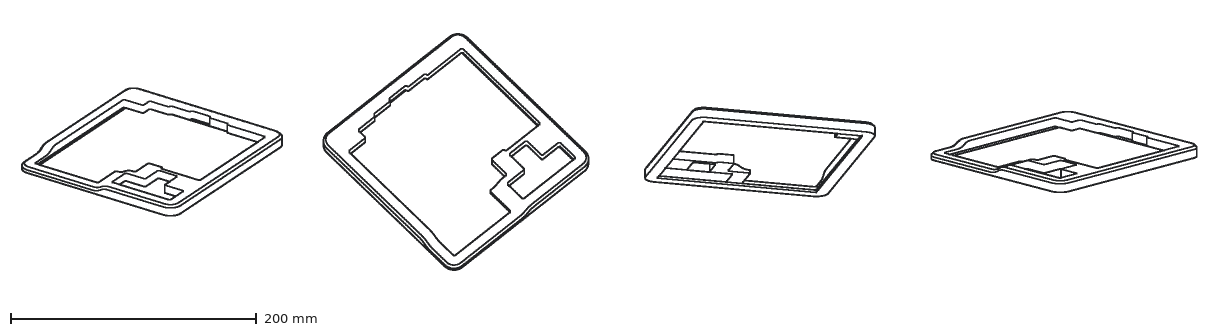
import cadquery as cq
import math

KEY = 19.05
COLUMNS = 7
ROWS = 7.5
RAIL = 10.475
HEIGHT = 9.3
CORNER_RADIUS = 10.1
TOP_CHAMFER = 2.0

HOLLOW_RADIUS = 1.425
NOSE_RADIUS = 0.5
OPENING_SHIFT = -0.2
STAGGER = KEY / 8
FIRST_COLUMN_STEP = 0.75 * KEY
SIDE_REACH = 5 * KEY
BLOCK_LEFT = 14.6
ARM_SETBACK = 0.3
WEB = 4.0
THUMB_LEFT = 9.0

LOW_DROP = 4.5
RAMP_LOWER_RADIUS = 12.75
RAMP_UPPER_RADIUS = 14.07
RAMP_FOOT_X = -2.9
RAMP_FOOT_Y = -55.6

RECESS_DEPTH = 2.0
RECESS_MARGIN = 0.3

half_x = COLUMNS * KEY / 2
half_y = ROWS * KEY / 2
outer_x = half_x + RAIL
outer_y = half_y + RAIL
low_z = HEIGHT - LOW_DROP

deep_y = half_y + OPENING_SHIFT
front_y = -half_y + OPENING_SHIFT
middle_y = deep_y - STAGGER
back_y = middle_y - STAGGER
first_column_y = deep_y - FIRST_COLUMN_STEP

block_top = middle_y - SIDE_REACH
arm_left = BLOCK_LEFT - KEY
arm_top = block_top - KEY - ARM_SETBACK
web_top = back_y - SIDE_REACH
thumb_key_top = web_top - WEB
thumb_top = thumb_key_top - KEY


def column_x(index):
    """X of the left boundary of the given key column, counted from 0."""
    return -half_x + index * KEY


def rounded_prism(corners):
    """Full-height prism over a closed outline given as (x, y, corner radius)."""
    body = cq.Workplane("XY").polyline([(x, y) for x, y, _ in corners]).close().extrude(HEIGHT)
    for x, y, radius in corners:
        upright = cq.selectors.NearestToPointSelector((x, y, HEIGHT / 2))
        body = body.edges("|Z").edges(upright).fillet(radius)
    return body


def main_opening():
    return rounded_prism([
        (column_x(0), first_column_y, HOLLOW_RADIUS),
        (column_x(1), first_column_y, NOSE_RADIUS),
        (column_x(1), back_y, HOLLOW_RADIUS),
        (column_x(2), back_y, NOSE_RADIUS),
        (column_x(2), middle_y, HOLLOW_RADIUS),
        (column_x(3), middle_y, NOSE_RADIUS),
        (column_x(3), deep_y, HOLLOW_RADIUS),
        (column_x(4), deep_y, HOLLOW_RADIUS),
        (column_x(4), middle_y, NOSE_RADIUS),
        (column_x(5), middle_y, HOLLOW_RADIUS),
        (column_x(5), back_y, NOSE_RADIUS),
        (half_x, back_y, HOLLOW_RADIUS),
        (half_x, web_top, HOLLOW_RADIUS),
        (column_x(5), web_top, NOSE_RADIUS),
        (column_x(5), block_top, HOLLOW_RADIUS),
        (BLOCK_LEFT, block_top, HOLLOW_RADIUS),
        (BLOCK_LEFT, arm_top, HOLLOW_RADIUS),
        (arm_left, arm_top, HOLLOW_RADIUS),
        (arm_left, front_y, HOLLOW_RADIUS),
        (column_x(0), front_y, HOLLOW_RADIUS),
    ])


def thumb_opening():
    return rounded_prism([
        (THUMB_LEFT, front_y, HOLLOW_RADIUS),
        (THUMB_LEFT, thumb_top, HOLLOW_RADIUS),
        (column_x(5), thumb_top, NOSE_RADIUS),
        (column_x(5), thumb_key_top, HOLLOW_RADIUS),
        (column_x(6), thumb_key_top, HOLLOW_RADIUS),
        (column_x(6), thumb_top, NOSE_RADIUS),
        (half_x, thumb_top, HOLLOW_RADIUS),
        (half_x, front_y, HOLLOW_RADIUS),
    ])


def ramp_cutter(plane, start, foot, depth):
    """Material above the lowered level, ending in an S-shaped ramp up to full height.

    The profile lies in the given plane, whose first axis runs from start towards the ramp.
    """
    radius_sum = RAMP_LOWER_RADIUS + RAMP_UPPER_RADIUS
    sweep = math.acos(1 - LOW_DROP / radius_sum)
    crest = foot + radius_sum * math.sin(sweep)

    def lower_arc(angle):
        rise = RAMP_LOWER_RADIUS * (1 - math.cos(angle))
        return foot + RAMP_LOWER_RADIUS * math.sin(angle), low_z + rise

    def upper_arc(angle):
        fall = RAMP_UPPER_RADIUS * (1 - math.cos(angle))
        return crest - RAMP_UPPER_RADIUS * math.sin(angle), HEIGHT - fall

    return (
        cq.Workplane(plane)
        .moveTo(start, low_z)
        .lineTo(foot, low_z)
        .threePointArc(lower_arc(sweep / 2), lower_arc(sweep))
        .threePointArc(upper_arc(sweep / 2), (crest, HEIGHT))
        .lineTo(start, HEIGHT)
        .close()
        .extrude(depth)
    )


def lowered_corner():
    """Cutter for the front-left corner, with ramps on the front rail and arm and on the left rail."""
    front_plane = cq.Plane((0, arm_top, 0), xDir=(1, 0, 0), normal=(0, -1, 0))
    side_plane = cq.Plane((-outer_x, 0, 0), xDir=(0, 1, 0), normal=(1, 0, 0))
    front = ramp_cutter(front_plane, -half_x, RAMP_FOOT_X, outer_y + arm_top)
    side = ramp_cutter(side_plane, -outer_y, RAMP_FOOT_Y, RAIL)
    return front.union(side)


def frame_blank():
    """Solid plate with rounded corners, lowered at the front left and bevelled all round the top."""
    plate = cq.Workplane("XY").rect(2 * outer_x, 2 * outer_y).extrude(HEIGHT)
    plate = plate.edges("|Z").fillet(CORNER_RADIUS).cut(lowered_corner())
    back_rim = cq.selectors.NearestToPointSelector((0, outer_y, HEIGHT))
    return plate.edges(back_rim).chamfer(TOP_CHAMFER)


def underside_recess():
    return (
        cq.Workplane("XY")
        .center(0, OPENING_SHIFT)
        .rect(2 * (half_x + RECESS_MARGIN), 2 * (half_y + RECESS_MARGIN))
        .extrude(RECESS_DEPTH)
    )


result = frame_blank().cut(main_opening()).cut(thumb_opening()).cut(underside_recess())